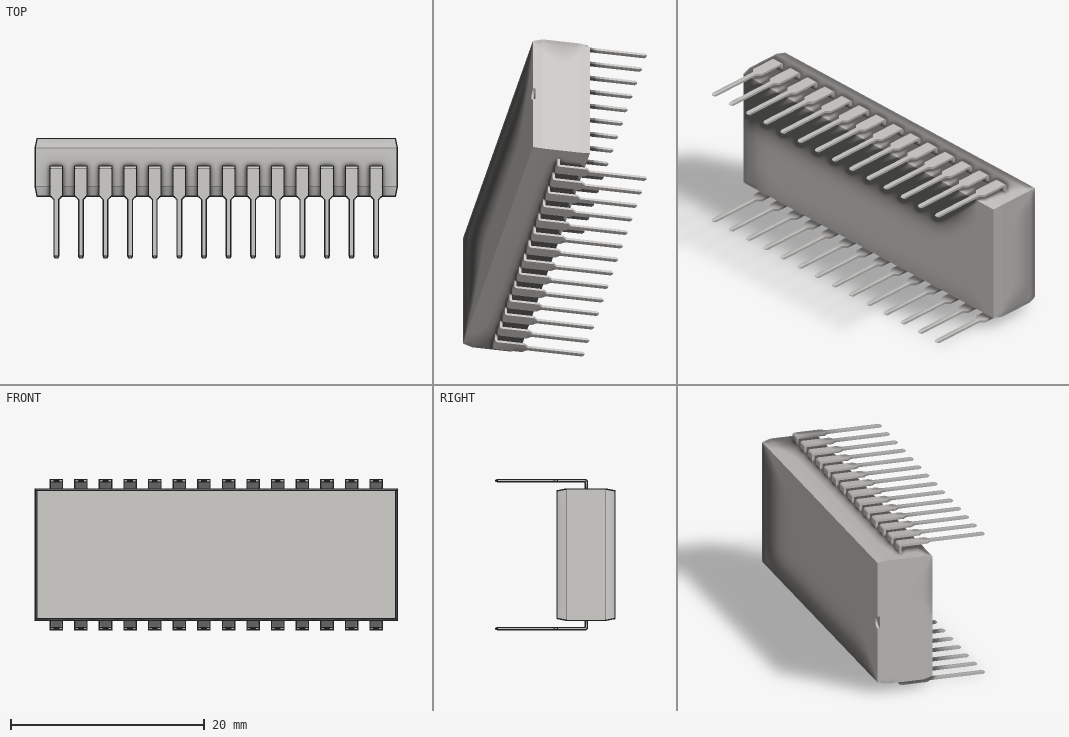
import cadquery as cq

BODY_LENGTH = 37.41
BODY_HEIGHT = 13.6
BODY_MIDDLE_DEPTH = 4.0
DRAFT_DEPTH = 1.0
DRAFT_INSET = 0.2
BODY_DEPTH = BODY_MIDDLE_DEPTH + 2 * DRAFT_DEPTH

NOTCH_RADIUS = 0.65
NOTCH_DEPTH = 0.25

PINS_PER_ROW = 14
PIN_PITCH = 2.54
ROW_SPAN = 15.53
OVERALL_DEPTH = 12.36
PIN_THICKNESS = 0.25
PIN_BACK = 0.15
SHOULDER_WIDTH = 1.3
LEG_WIDTH = 0.5
TIP_CHAMFER_LENGTH = 0.2
TIP_CHAMFER_INSET = 0.1
BEND_RADIUS = PIN_THICKNESS
PIN_EMBED = 0.3
TAPER_OVERLAP = 0.07

BODY_FRONT = -BODY_DEPTH / 2
BODY_BACK = BODY_DEPTH / 2
PIN_TIP = BODY_BACK - OVERALL_DEPTH
TAPER_LENGTH = (SHOULDER_WIDTH - LEG_WIDTH) / 2
TAPER_START = BODY_FRONT + TAPER_OVERLAP
TAPER_END = TAPER_START - TAPER_LENGTH


def drafted_half(outward):
    """Half of the body, drafted toward the face on the given side of Y (+1 or -1)."""
    split_offset = -outward * BODY_MIDDLE_DEPTH / 2
    straight = (
        cq.Workplane("XZ")
        .rect(BODY_LENGTH, BODY_HEIGHT)
        .extrude(split_offset)
    )
    drafted = (
        cq.Workplane("XZ", origin=(0, outward * BODY_MIDDLE_DEPTH / 2, 0))
        .rect(BODY_LENGTH, BODY_HEIGHT)
        .workplane(offset=-outward * DRAFT_DEPTH)
        .rect(BODY_LENGTH - 2 * DRAFT_INSET, BODY_HEIGHT - 2 * DRAFT_INSET)
        .loft(ruled=True)
    )
    return straight.union(drafted)


def make_notch():
    """Cutter for the half-round notch, centred on the -X edge of the back face."""
    return (
        cq.Workplane("XZ", origin=(-BODY_LENGTH / 2 + DRAFT_INSET, BODY_BACK, 0))
        .circle(NOTCH_RADIUS)
        .extrude(NOTCH_DEPTH)
    )


def make_body():
    return drafted_half(1).union(drafted_half(-1)).cut(make_notch())


def make_upper_pin():
    """One lead of the upper row, centred on X = 0."""
    top = ROW_SPAN / 2
    under = top - PIN_THICKNESS
    root = BODY_HEIGHT / 2 - PIN_EMBED
    tip_start = PIN_TIP + TIP_CHAMFER_LENGTH

    bent_strip = (
        cq.Workplane("YZ")
        .moveTo(PIN_BACK, root)
        .lineTo(PIN_BACK, top - BEND_RADIUS)
        .radiusArc((PIN_BACK - BEND_RADIUS, top), -BEND_RADIUS)
        .lineTo(tip_start, top)
        .lineTo(PIN_TIP, top - TIP_CHAMFER_INSET)
        .lineTo(PIN_TIP, under + TIP_CHAMFER_INSET)
        .lineTo(tip_start, under)
        .lineTo(PIN_BACK - PIN_THICKNESS, under)
        .lineTo(PIN_BACK - PIN_THICKNESS, root)
        .close()
        .extrude(SHOULDER_WIDTH / 2, both=True)
    )

    right_side = [
        (SHOULDER_WIDTH / 2, PIN_BACK),
        (SHOULDER_WIDTH / 2, TAPER_START),
        (LEG_WIDTH / 2, TAPER_END),
        (LEG_WIDTH / 2, tip_start),
        (LEG_WIDTH / 2 - TIP_CHAMFER_INSET, PIN_TIP),
    ]
    left_side = [(-x, y) for x, y in reversed(right_side)]
    outline = cq.Workplane("XY").polyline(right_side + left_side).close().extrude(ROW_SPAN)
    return bent_strip.intersect(outline)


def make_pins():
    upper_pin = make_upper_pin()
    lower_pin = upper_pin.mirror("XY")
    pins = []
    for index in range(PINS_PER_ROW):
        x = (index - (PINS_PER_ROW - 1) / 2) * PIN_PITCH
        for pin in (upper_pin, lower_pin):
            pins.append(pin.translate((x, 0, 0)))
    return pins


result = make_body()
for lead in make_pins():
    result = result.union(lead)